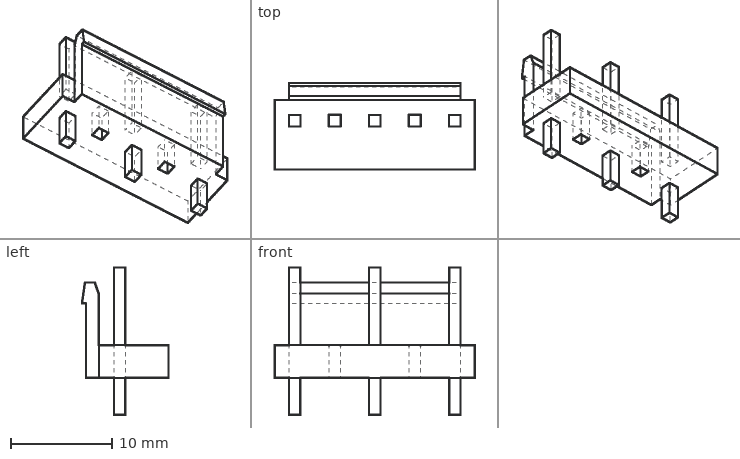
import cadquery as cq

position_count = 5
pitch = 3.96
pin_side = 1.15
pin_above = 7.68
pin_below = 3.68
pin_setback = 2.05

base_length = position_count * pitch
base_depth = 6.91
base_height = 3.23

wall_length = (position_count - 1) * pitch + pin_side
wall_thickness = 1.29
wall_above = 6.2
lip_reach = 1.68
lip_height = 2.08
crest_front = 0.4
crest_rear = 1.39
lead_in_height = 1.1


def square_bars(x_positions, bottom, height):
    """Vertical square bars along the pin row."""
    return (
        cq.Workplane("XY", origin=(0, -pin_setback, bottom))
        .pushPoints([(x, 0) for x in x_positions])
        .rect(pin_side, pin_side)
        .extrude(height)
    )


def latch_wall():
    """Wall with a sloped front lead-in and a rear hooked lip."""
    top = base_height + wall_above
    lip_bottom = top - lip_height
    return (
        cq.Workplane("YZ")
        .moveTo(0, 0)
        .lineTo(wall_thickness, 0)
        .lineTo(wall_thickness, lip_bottom)
        .lineTo(lip_reach, lip_bottom)
        .lineTo(crest_rear, top)
        .lineTo(crest_front, top)
        .lineTo(0, top - lead_in_height)
        .close()
        .extrude(wall_length / 2, both=True)
    )


positions = [(i - (position_count - 1) / 2) * pitch for i in range(position_count)]
pin_positions = positions[::2]
hole_positions = positions[1::2]

base = cq.Workplane("XY").box(base_length, base_depth, base_height, centered=(True, False, False))
base = base.translate((0, -base_depth, 0))

pins = square_bars(pin_positions, -pin_below, pin_below + base_height + pin_above)
holes = square_bars(hole_positions, 0, base_height)

result = base.union(latch_wall()).cut(holes).union(pins)